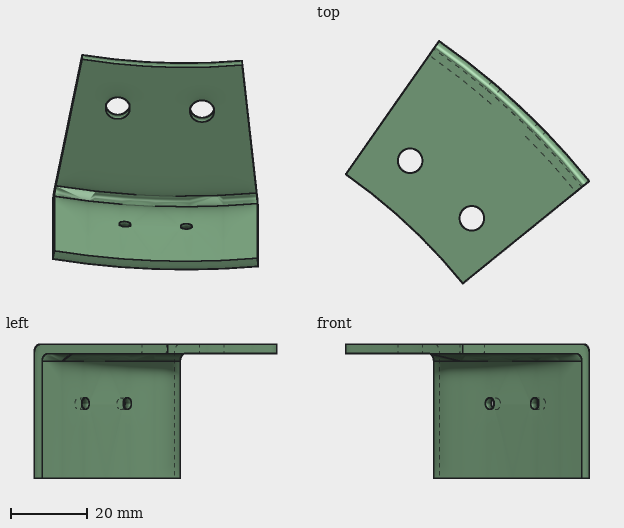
import cadquery as cq
import math

inner_radius = 150.0
outer_radius = 192.5
height = 35.0
thickness = 2.5
bend_radius = 2.05

sweep_angle = 16.0
middle_angle = 47.0
start_angle = middle_angle - sweep_angle / 2

flange_hole_diameter = 6.35
flange_hole_circle_radius = 163.0
flange_hole_spacing = 22.0

wall_hole_diameter = 3.0
wall_hole_depth = 15.5
wall_hole_spacing = 16.0

wall_inner_radius = outer_radius - thickness


def hole_angles(spacing, radius):
    """Angles of two centres placed symmetrically about the middle line."""
    half_angle = math.degrees(math.asin(spacing / 2 / radius))
    return [middle_angle - half_angle, middle_angle + half_angle]


def make_bracket_body():
    """Revolve the rounded L section, drawn as radius against Z."""
    corner_offset = bend_radius * (1 - math.sqrt(0.5))
    outer_bend_middle = (outer_radius - corner_offset, -corner_offset)
    inner_bend_middle = (wall_inner_radius - corner_offset, -thickness - corner_offset)
    section = (
        cq.Workplane("XZ")
        .moveTo(inner_radius, 0)
        .lineTo(outer_radius - bend_radius, 0)
        .threePointArc(outer_bend_middle, (outer_radius, -bend_radius))
        .lineTo(outer_radius, -height)
        .lineTo(wall_inner_radius, -height)
        .lineTo(wall_inner_radius, -thickness - bend_radius)
        .threePointArc(inner_bend_middle, (wall_inner_radius - bend_radius, -thickness))
        .lineTo(inner_radius, -thickness)
        .close()
    )
    body = section.revolve(sweep_angle, (0, 0, 0), (0, 1, 0))
    return body.rotate((0, 0, 0), (0, 0, 1), start_angle)


def make_flange_hole(angle):
    """Vertical cutter through the flange."""
    cutter = (
        cq.Workplane("XY")
        .center(flange_hole_circle_radius, 0)
        .circle(flange_hole_diameter / 2)
        .extrude(thickness, both=True)
    )
    return cutter.rotate((0, 0, 0), (0, 0, 1), angle)


def make_wall_hole(angle):
    """Radial cutter through the wall."""
    cutter = (
        cq.Workplane("YZ", origin=(outer_radius, 0, -wall_hole_depth))
        .circle(wall_hole_diameter / 2)
        .extrude(2 * thickness, both=True)
    )
    return cutter.rotate((0, 0, 0), (0, 0, 1), angle)


result = make_bracket_body()

for angle in hole_angles(flange_hole_spacing, flange_hole_circle_radius):
    result = result.cut(make_flange_hole(angle))

for angle in hole_angles(wall_hole_spacing, wall_inner_radius):
    result = result.cut(make_wall_hole(angle))